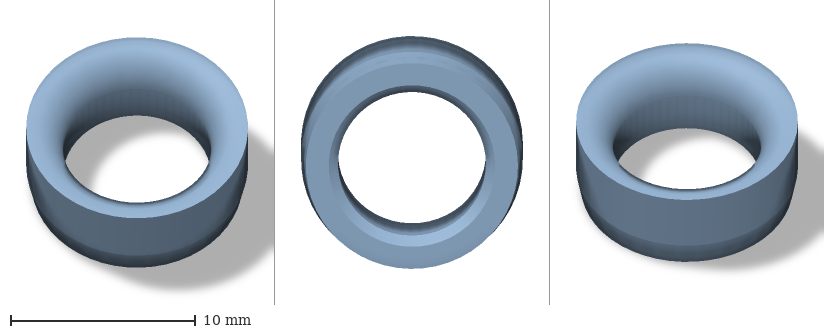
import cadquery as cq
import math

outer_radius = 6.0
bore_radius = 4.0
height = 5.0
lead_in_height = 1.5
lead_in_angle = 10.0
exit_chamfer = 0.5

mouth_radius = outer_radius - bore_radius
mouth_start_z = height - mouth_radius
bottom_radius = outer_radius - lead_in_height * math.tan(math.radians(lead_in_angle))

mouth_mid_offset = mouth_radius * math.cos(math.radians(45))
mouth_mid_point = (outer_radius - mouth_mid_offset, mouth_start_z + mouth_mid_offset)


def make_bushing():
    """Revolve the half section (radius, z) about the Z axis."""
    section = (
        cq.Workplane("XZ")
        .moveTo(bore_radius, exit_chamfer)
        .lineTo(bore_radius + exit_chamfer, 0)
        .lineTo(bottom_radius, 0)
        .lineTo(outer_radius, lead_in_height)
        .lineTo(outer_radius, height)
        .threePointArc(mouth_mid_point, (bore_radius, mouth_start_z))
        .close()
    )
    return section.revolve(360, (0, 0, 0), (0, 1, 0))


result = make_bushing()